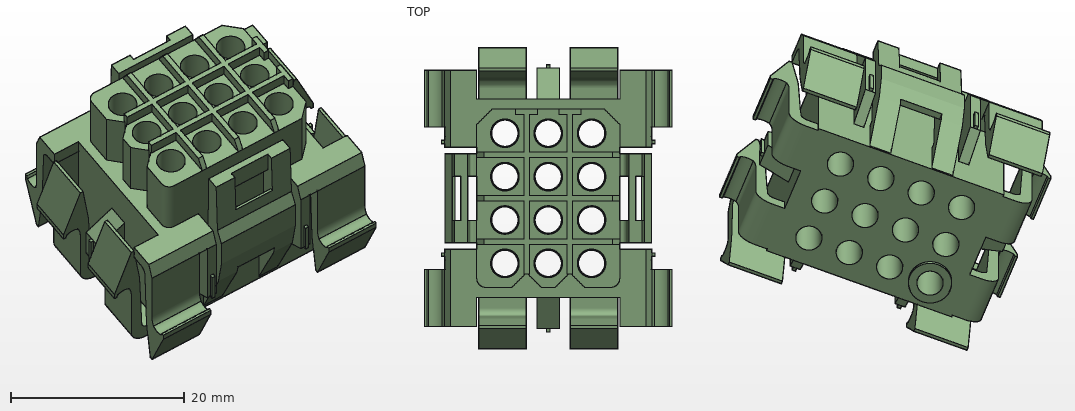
import cadquery as cq

body_height = 18.0
tower_top = 25.58
grid_top = 27.0
boss_drop = 0.5

body_width = 16.53
body_half_x = body_width / 2
body_half_y = 11.5
tower_half_y = 10.3
tower_chamfer = 1.77
tower_fillet = 1.05

columns = 3
rows = 4
pitch = 5.0
cavity_diameter = 3.3
cavity_lower_diameter = 3.03
boss_diameter = 5.0

rib_thickness = 0.63
rib_end_run = 0.85
tee_width = 2.5
tee_depth = 0.63
notch_depth = 1.53
notch_floor_half = 0.17

hook_length = 16.98
hook_deck = 1.85
hook_reach = 2.33
clip_face_x = 11.97
clip_inner_y = 8.2
clip_outer_y = 14.82
arm_face_y = 15.07
arm_inner_x = 2.55
arm_outer_x = 8.05
arm_corner_radius = 2.02
deck_chamfer_run = 0.65
deck_inner_y = 5.88

guide_width = 1.25
guide_wall_z = 5.0
guide_low_z = 7.05
wedge_width = 2.65
wedge_face_y = 15.07
wedge_high_z = 10.93
wedge_top_z = 12.9
bump_width = 0.42
bump_height = 0.4
bump_top_z = 10.93

latch_top = 25.1
latch_half_y = 5.15
latch_window_half_y = 2.55
latch_back_x = 9.33
latch_gap_floor = 5.9
latch_gap_flat = 0.35
latch_gap_fillet = 0.4
latch_tip_x = 10.85
latch_shoulder = (11.15, 17.35)
latch_face_x = 11.95
latch_face_top = 15.73
latch_face_bottom = 11.83
latch_foot = (11.3, 8.0)
latch_root_z = 0.35
latch_skin_inner_x = 10.75
latch_bar_outer_x = 10.13
latch_bar_bottom = 22.2
latch_notch_bottom = 19.3
latch_skin_bottom = 9.05


def block(x0, x1, y0, y1, z0, z1):
    return cq.Workplane("XY").box(x1 - x0, y1 - y0, z1 - z0, centered=False).translate((x0, y0, z0))


def slab_xz(outline, y0, y1):
    """Extrude a closed outline drawn in X and Z from y0 to y1."""
    return outline.extrude(-(y1 - y0)).translate((0, y0, 0))


def outline_xz(points):
    return cq.Workplane("XZ").polyline(points).close()


def both_x(solid):
    return solid.union(solid.mirror("YZ"))


def both_y(solid):
    return solid.union(solid.mirror("XZ"))


def grid_positions(count):
    return [(i - (count - 1) / 2) * pitch for i in range(count)]


column_xs = grid_positions(columns)
row_ys = grid_positions(rows)
rib_xs = grid_positions(columns - 1)
rib_ys = grid_positions(rows - 1)


def tower():
    solid = block(-body_half_x, body_half_x, -tower_half_y, tower_half_y, 0, tower_top)
    solid = solid.edges("|Z and >Y").chamfer(tower_chamfer)
    solid = solid.edges("|Z and <Y").fillet(tower_fillet)
    mouth_half = notch_floor_half + notch_depth
    notch_floor_y = -tower_half_y + notch_depth
    for x in rib_xs:
        notch = (
            cq.Workplane("XY")
            .polyline([
                (x - mouth_half, -tower_half_y),
                (x - notch_floor_half, notch_floor_y),
                (x + notch_floor_half, notch_floor_y),
                (x + mouth_half, -tower_half_y),
            ])
            .close()
            .extrude(tower_top)
        )
        solid = solid.cut(notch)
    return solid


def rib_grid():
    half = rib_thickness / 2
    cross_outline = [
        (-body_half_x, tower_top),
        (body_half_x, tower_top),
        (body_half_x - rib_end_run, grid_top),
        (rib_end_run - body_half_x, grid_top),
    ]
    solid = slab_xz(outline_xz(cross_outline), rib_ys[0] - half, rib_ys[0] + half)
    for y in rib_ys[1:]:
        solid = solid.union(slab_xz(outline_xz(cross_outline), y - half, y + half))
    for x in rib_xs:
        long_rib = block(x - half, x + half, notch_depth - tower_half_y, tower_half_y, tower_top, grid_top)
        tee = block(x - tee_width / 2, x + tee_width / 2,
                    tower_half_y - tee_depth, tower_half_y, tower_top, grid_top)
        solid = solid.union(long_rib).union(tee)
    return solid


def hook_outline(root_depth, rounded_corner):
    """Spring hook with its leg face on x = 0, its free end on z = 0 and its root on top."""
    tip_flat_start = 2.02
    tip_low_z = 6.2
    tip_high_z = 6.95
    groove_start_z = 7.75
    groove_entry = (0.3, 6.55)
    groove_bottom = (1.1, 6.3)
    groove_exit = (1.88, 6.58)
    deck_under = hook_length - hook_deck
    root_fillet = 0.87
    leg_root_x = -1.45
    leg_bend = (-1.15, 5.5)
    end_flat = 0.4
    outline = cq.Workplane("XZ").moveTo(-root_depth, hook_length)
    if rounded_corner:
        r = arm_corner_radius
        arc_mid = r * (1 - 0.5 ** 0.5)
        outline = outline.lineTo(-r, hook_length)
        outline = outline.threePointArc((-arc_mid, hook_length - arc_mid), (0, hook_length - r))
    else:
        outline = outline.lineTo(-deck_chamfer_run, hook_length).lineTo(0, deck_under)
    return (
        outline.lineTo(0, groove_start_z)
        .tangentArcPoint(groove_entry, relative=False)
        .threePointArc(groove_bottom, groove_exit)
        .lineTo(tip_flat_start, tip_high_z)
        .lineTo(hook_reach, tip_high_z)
        .lineTo(hook_reach, tip_low_z)
        .lineTo(0, 0)
        .lineTo(-end_flat, 0)
        .lineTo(*leg_bend)
        .lineTo(leg_root_x, deck_under - root_fillet)
        .tangentArcPoint((leg_root_x - root_fillet, deck_under), relative=False)
        .lineTo(-root_depth, deck_under)
        .close()
    )


def clips():
    hook = slab_xz(hook_outline(clip_face_x - body_half_x, False), clip_inner_y, clip_outer_y)
    hook = hook.translate((clip_face_x, 0, body_height - hook_length))
    deck_under = body_height - hook_deck
    deck = outline_xz([
        (body_half_x, body_height),
        (clip_face_x - deck_chamfer_run, body_height),
        (clip_face_x, deck_under),
        (body_half_x, deck_under),
    ])
    guide = outline_xz([
        (body_half_x, deck_under),
        (clip_face_x, deck_under),
        (clip_face_x, guide_low_z),
        (body_half_x, guide_wall_z),
    ])
    guide_mid_y = deck_inner_y + guide_width / 2
    bump = block(clip_face_x - bump_height, clip_face_x + bump_height,
                 guide_mid_y - bump_width / 2, guide_mid_y + bump_width / 2, guide_low_z, bump_top_z)
    quarter = hook.union(slab_xz(deck, deck_inner_y, clip_inner_y))
    quarter = quarter.union(slab_xz(guide, deck_inner_y, deck_inner_y + guide_width)).union(bump)
    return both_x(both_y(quarter))


def arms():
    hook = slab_xz(hook_outline(arm_face_y - body_half_y, True), arm_inner_x, arm_outer_x)
    hook = hook.mirror("XY").rotate((0, 0, 0), (0, 0, 1), 90)
    hook = hook.translate((0, arm_face_y, hook_length))
    return both_x(both_y(hook))


def guide_wedges():
    wedge = (
        cq.Workplane("YZ")
        .polyline([
            (body_half_y, guide_wall_z),
            (wedge_face_y, guide_low_z),
            (wedge_face_y, wedge_high_z),
            (body_half_y, wedge_top_z),
        ])
        .close()
        .extrude(wedge_width / 2, both=True)
    )
    bump = block(-bump_width / 2, bump_width / 2,
                 wedge_face_y - bump_height, wedge_face_y + bump_height, guide_low_z, bump_top_z)
    return both_y(wedge.union(bump))


def latch_outline():
    """Section of the +X latch: a tapered blade whose foot is rooted in the body wall."""
    floor_end_x = body_half_x + latch_gap_flat
    back_foot = (floor_end_x + latch_gap_fillet, latch_gap_floor + latch_gap_fillet)
    return (
        cq.Workplane("XZ")
        .moveTo(latch_back_x, latch_top)
        .lineTo(latch_tip_x, latch_top)
        .lineTo(*latch_shoulder)
        .lineTo(latch_face_x, latch_face_top)
        .lineTo(latch_face_x, latch_face_bottom)
        .lineTo(*latch_foot)
        .lineTo(body_half_x, latch_root_z)
        .lineTo(body_half_x, latch_gap_floor)
        .lineTo(floor_end_x, latch_gap_floor)
        .tangentArcPoint(back_foot, relative=False)
        .close()
    )


def latches():
    y = latch_window_half_y
    latch = slab_xz(latch_outline(), -latch_half_y, latch_half_y)
    latch = latch.cut(block(0, latch_skin_inner_x, -y, y, 0, latch_bar_bottom))
    latch = latch.cut(block(latch_bar_outer_x, latch_face_x, -y, y, latch_notch_bottom, latch_top))
    latch = latch.cut(block(0, latch_face_x, -y, y, 0, latch_skin_bottom))
    return both_x(latch)


body = block(-body_half_x, body_half_x, -body_half_y, body_half_y, 0, body_height)
boss = cq.Workplane("XY").center(column_xs[-1], row_ys[0]).circle(boss_diameter / 2).extrude(-boss_drop)

result = body
for feature in (tower(), rib_grid(), clips(), arms(), guide_wedges(), latches(), boss):
    result = result.union(feature)

for x in column_xs:
    for y in row_ys:
        cavity = cq.Workplane("XY").center(x, y)
        through_bore = cavity.circle(cavity_lower_diameter / 2).extrude(tower_top, both=True)
        wide_bore = cavity.workplane(offset=body_height).circle(cavity_diameter / 2).extrude(grid_top)
        result = result.cut(through_bore).cut(wide_bore)